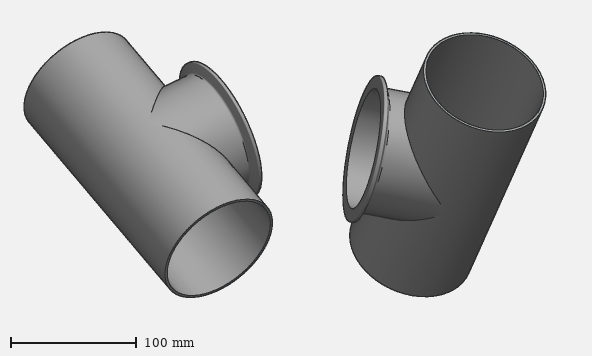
import cadquery as cq
import math

run_length = 209.5
overall_depth = 120.7
tube_outer_diameter = 101.6
tube_bore_diameter = 97.5

flange_diameter = 119.0
flange_rim_thickness = 3.0
flange_rim_fillet = 0.6
flange_back_angle = 20.0
neck_fillet = 1.3

tube_radius = tube_outer_diameter / 2
flange_radius = flange_diameter / 2
branch_length = overall_depth - tube_radius


def run_cylinder(diameter):
    """Full-length cylinder along X, centred on the origin."""
    return cq.Workplane("YZ").circle(diameter / 2).extrude(run_length / 2, both=True)


def branch_cylinder(diameter):
    """Cylinder from the run axis out to the ferrule face along +Y."""
    return cq.Workplane("XZ").circle(diameter / 2).extrude(-branch_length)


def branch_with_flange():
    """Solid branch and its flange, revolved about the Y axis."""
    cone_depth = (flange_radius - tube_radius) * math.tan(math.radians(flange_back_angle))
    rim_back = branch_length - flange_rim_thickness
    cone_end = rim_back - cone_depth
    profile = (
        cq.Workplane("XY")
        .polyline([
            (0, 0),
            (tube_radius, 0),
            (tube_radius, cone_end),
            (flange_radius, rim_back),
            (flange_radius, branch_length),
            (0, branch_length),
        ])
        .close()
    )
    branch = profile.revolve(360, (0, 0, 0), (0, 1, 0))

    rim_selector = cq.selectors.RadiusNthSelector(-1)
    branch = branch.edges("%CIRCLE").edges(rim_selector).fillet(flange_rim_fillet)

    margin = neck_fillet / 2
    neck_zone = cq.selectors.BoxSelector(
        (-flange_radius, cone_end - margin, -flange_radius),
        (flange_radius, cone_end + margin, flange_radius),
    )
    return branch.edges("%CIRCLE").edges(neck_zone).fillet(neck_fillet)


outer_body = run_cylinder(tube_outer_diameter).union(branch_with_flange())
result = outer_body.cut(run_cylinder(tube_bore_diameter)).cut(branch_cylinder(tube_bore_diameter))